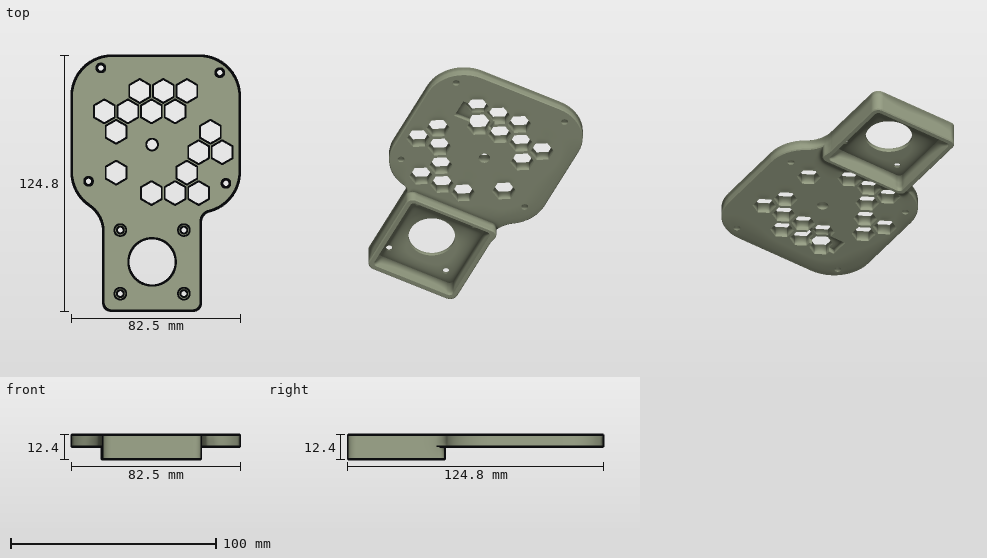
import cadquery as cq
import math


total_height = 12.4
plate_thickness = 6.2
plate_bottom = total_height - plate_thickness
edge_chamfer = 0.5

plate_left = -39.5
plate_right = 43.0
plate_back = 100.82
plate_corner_radius = 20.0
front_corner_center_y = 43.9

housing_size = 48.0
housing_half = housing_size / 2
housing_back = 23.5
housing_corner_radius = 4.0
housing_back_corner_radius = 3.5
left_neck_radius = 15.0
right_neck_radius = 5.0

motor_pocket_size = 43.0
motor_pocket_corner_radius = 2.0
motor_face_thickness = 2.4
pilot_hole_diameter = 22.8
pilot_hole_chamfer = 0.3
motor_screw_spacing = 31.0
motor_screw_diameter = 3.2
motor_screw_head_diameter = 5.8
countersink_angle = 90.0

mount_hole_positions = [(-25.0, 94.6), (33.0, 92.3), (-31.0, 39.3), (36.0, 38.3)]
mount_hole_diameter = 3.4
mount_hole_chamfer = 0.5

cable_hole_position = (0.0, 57.2)
cable_hole_diameter = 5.6

vent_width = 10.0
vent_corner_diameter = vent_width / math.cos(math.pi / 6)
vent_pitch = 11.5
vent_row_pitch = vent_pitch * math.sin(math.pi / 3)
vent_grid_x = -0.3
vent_grid_y = 73.4
vent_columns = {
    1: [-0.5, 0.5, 1.5],
    0: [-2, -1, 0, 1],
    -1: [-1.5, 2.5],
    -2: [2, 3],
    -3: [-1.5, 1.5],
    -4: [0, 1, 2],
}

recess_left = 4.8
recess_length = 20.0
recess_front = 73.9
recess_back = 83.7
recess_roof_thickness = 3.45


def point_on_circle(center, radius, angle):
    return (center[0] + radius * math.cos(angle), center[1] + radius * math.sin(angle))


def neck_arc(side, corner_center, neck_radius):
    """Blend from a front plate corner into the housing side; side is -1 for left, 1 for right.

    Returns the corner arc's middle point, the joint of both arcs, the blend's middle point
    and its end on the housing side.
    """
    blend_x = side * (housing_half + neck_radius)
    offset_x = blend_x - corner_center[0]
    offset_y = -math.sqrt((plate_corner_radius + neck_radius) ** 2 - offset_x ** 2)
    blend_center = (blend_x, corner_center[1] + offset_y)
    joint_angle = math.atan2(offset_y, side * offset_x)

    def outward(center, radius, angle):
        x, y = point_on_circle((side * center[0], center[1]), radius, angle)
        return (side * x, y)

    corner_middle = outward(corner_center, plate_corner_radius, joint_angle / 2)
    joint = outward(corner_center, plate_corner_radius, joint_angle)
    blend_middle = outward(blend_center, neck_radius, math.pi + joint_angle / 2)
    blend_end = (side * housing_half, blend_center[1])
    return corner_middle, joint, blend_middle, blend_end


def outline_prism(height):
    """Full outline of the part, extruded up from Z = 0."""
    radius = plate_corner_radius
    left_x = plate_left + radius
    right_x = plate_right - radius
    back_y = plate_back - radius
    left_corner, left_joint, left_blend, left_end = neck_arc(
        -1, (left_x, front_corner_center_y), left_neck_radius
    )
    right_corner, right_joint, right_blend, right_end = neck_arc(
        1, (right_x, front_corner_center_y), right_neck_radius
    )
    prism = (
        cq.Workplane("XY")
        .moveTo(-housing_half, -housing_half)
        .lineTo(housing_half, -housing_half)
        .lineTo(*right_end)
        .threePointArc(right_blend, right_joint)
        .threePointArc(right_corner, (plate_right, front_corner_center_y))
        .lineTo(plate_right, back_y)
        .threePointArc(point_on_circle((right_x, back_y), radius, math.pi / 4), (right_x, plate_back))
        .lineTo(left_x, plate_back)
        .threePointArc(point_on_circle((left_x, back_y), radius, 3 * math.pi / 4), (plate_left, back_y))
        .lineTo(plate_left, front_corner_center_y)
        .threePointArc(left_corner, left_joint)
        .threePointArc(left_blend, left_end)
        .close()
        .extrude(height)
    )
    return prism.faces("<Y").edges("|Z").fillet(housing_corner_radius)


def plate():
    body = outline_prism(plate_thickness).translate((0, 0, plate_bottom))
    return body.faces("<Z or >Z").edges().chamfer(edge_chamfer)


def housing():
    """Motor housing: follows the outline on the left and has a flat, round-cornered back."""
    reach = 2 * housing_size
    limits = cq.Workplane("XY").box(reach, reach, total_height, centered=False)
    limits = limits.translate((housing_half - reach, housing_back - reach, 0))
    body = outline_prism(total_height).intersect(limits)
    body = body.faces(">Y").edges("|Z").fillet(housing_back_corner_radius)
    return body.faces("<Z or >Z").edges().chamfer(edge_chamfer)


def motor_pocket():
    pocket_depth = total_height - motor_face_thickness
    pocket = cq.Workplane("XY").rect(motor_pocket_size, motor_pocket_size).extrude(pocket_depth)
    return pocket.edges("|Z").fillet(motor_pocket_corner_radius)


def countersunk_holes(body, positions, diameter, head_diameter):
    return (
        body.faces(">Z")
        .workplane(origin=(0, 0, total_height))
        .pushPoints(positions)
        .cskHole(diameter, head_diameter, countersink_angle)
    )


def vents():
    positions = [
        (vent_grid_x + column * vent_pitch, vent_grid_y + row * vent_row_pitch)
        for row, columns in vent_columns.items()
        for column in columns
    ]
    hexagon = cq.Sketch().regularPolygon(vent_corner_diameter / 2, 6)
    return cq.Workplane("XY").pushPoints(positions).placeSketch(hexagon).extrude(total_height)


def recess():
    depth = plate_thickness - recess_roof_thickness
    block = cq.Workplane("XY").box(recess_length, recess_back - recess_front, depth, centered=False)
    return block.translate((recess_left, recess_front, plate_bottom))


def cable_hole():
    center = cq.Workplane("XY").center(*cable_hole_position)
    return center.circle(cable_hole_diameter / 2).extrude(total_height)


half_spacing = motor_screw_spacing / 2
motor_screw_positions = [(x, y) for x in (-half_spacing, half_spacing) for y in (-half_spacing, half_spacing)]
pilot_rim_diameter = pilot_hole_diameter + 2 * pilot_hole_chamfer
mount_rim_diameter = mount_hole_diameter + 2 * mount_hole_chamfer

result = plate().union(housing())
result = result.cut(motor_pocket()).cut(cable_hole()).cut(vents()).cut(recess())
result = countersunk_holes(result, [(0, 0)], pilot_hole_diameter, pilot_rim_diameter)
result = countersunk_holes(result, motor_screw_positions, motor_screw_diameter, motor_screw_head_diameter)
result = countersunk_holes(result, mount_hole_positions, mount_hole_diameter, mount_rim_diameter)